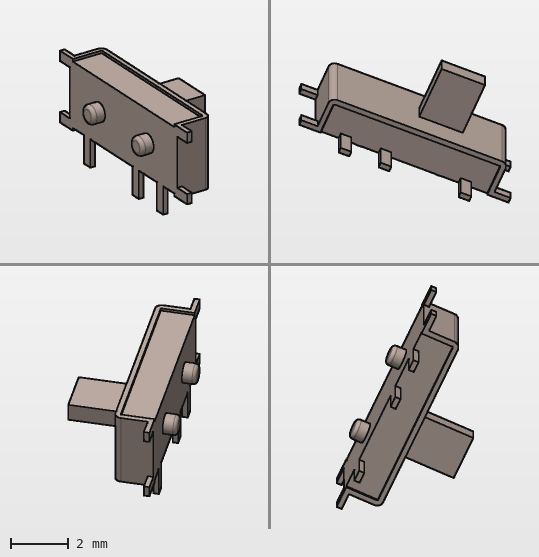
import cadquery as cq


sheet = 0.2
cover_width = 6.64
cover_depth = 1.4
cover_height = 2.76
outer_radius = 0.235
inner_radius = 0.04

tab_span = 7.85
tab_height = 0.4

body_recess = 0.1

lever_width = 1.63
lever_height = 0.65
lever_length = 2.01
lever_center_x = -0.81

peg_diameter = 0.73
peg_length = 0.495
peg_rounding = 0.14
peg_spacing = 3.0

terminal_width = 0.4
terminal_pitch = 1.5
terminal_drop = 0.99
terminal_centers = [-1.5 * terminal_pitch, 0.5 * terminal_pitch, 1.5 * terminal_pitch]

inner_width = cover_width - 2 * sheet
inner_depth = cover_depth - sheet
body_height = cover_height - 2 * body_recess


def front_block(width, depth, height, center_x=0, center_z=0):
    """Box that starts on the board-side face and extends toward +Y."""
    block = cq.Workplane("XY").box(width, depth, height, centered=(True, False, True))
    return block.translate((center_x, 0, center_z))


def make_cover():
    outside = front_block(cover_width, cover_depth, cover_height).edges("|Z and >Y").fillet(outer_radius)
    inside = front_block(inner_width, inner_depth, cover_height).edges("|Z and >Y").fillet(inner_radius)
    return outside.cut(inside)


def make_body():
    body = front_block(inner_width, inner_depth, body_height)
    return body.edges("|Z and >Y").fillet(inner_radius)


def make_tab(side, level):
    length = (tab_span - inner_width) / 2
    center_x = side * (tab_span - length) / 2
    center_z = level * (cover_height - tab_height) / 2
    return front_block(length, sheet, tab_height, center_x, center_z)


def make_lever():
    lever = front_block(lever_width, lever_length + sheet, lever_height, lever_center_x)
    return lever.translate((0, inner_depth, 0))


def make_peg(center_x):
    peg = cq.Workplane("XZ").center(center_x, 0).circle(peg_diameter / 2).extrude(peg_length)
    return peg.faces("<Y").edges().fillet(peg_rounding)


def make_terminal(center_x):
    length = body_recess + terminal_drop
    center_z = -body_height / 2 - length / 2
    return front_block(terminal_width, sheet, length, center_x, center_z)


result = make_cover().union(make_body()).union(make_lever())

for side in (-1, 1):
    result = result.union(make_peg(side * peg_spacing / 2))
    for level in (-1, 1):
        result = result.union(make_tab(side, level))

for center_x in terminal_centers:
    result = result.union(make_terminal(center_x))